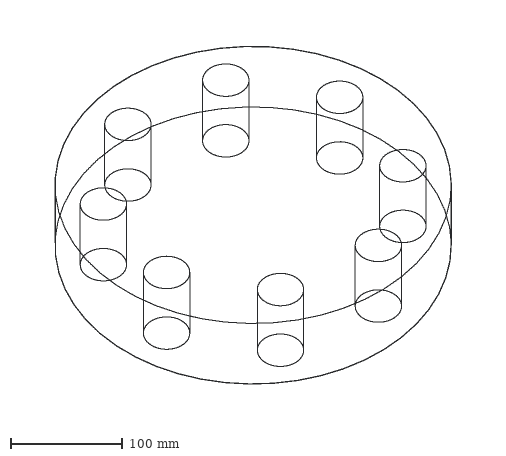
import cadquery as cq

plate_diameter = 355.5
plate_thickness = 76.0

hole_count = 8
hole_diameter = 41.5
hole_circle_diameter = 273.0

plate = cq.Workplane("XY").circle(plate_diameter / 2).extrude(plate_thickness)

result = (
    plate.faces(">Z")
    .workplane()
    .polarArray(hole_circle_diameter / 2, 0, 360, hole_count)
    .hole(hole_diameter)
)